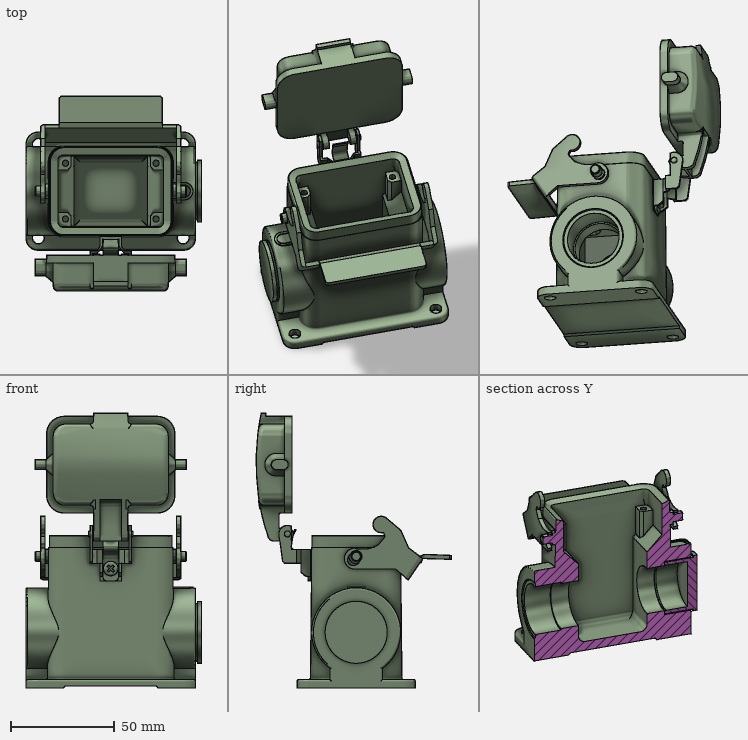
import cadquery as cq
import math

flange_half_x = 41.0
flange_half_y = 28.6
flange_thickness = 4.2
flange_corner_radius = 6.0
flange_edge_radius = 1.0
mount_hole_diameter = 5.6
mount_hole_x = 35.0
mount_hole_y = 22.6
foot_recess_half_x = 22.0
foot_recess_depth = 1.0

body_base_half = (30.7, 22.2)
body_draft = 0.6
body_corner_radius = 8.2
rim_corner_radius = 7.5
rim_half = (29.7, 21.4)
rim_base_z = 68.0
housing_top_z = 73.7
rim_outer_radius = 0.3
rim_bevel_width = 3.5
rim_bevel_drop = 1.2
foot_fillet_radius = 0.7

mouth_half = (25.6, 17.55)
mouth_corner_radius = 3.0
mouth_bottom_z = 68.0
throat_taper_end_z = 63.0
chamber_half = (17.8, 17.0)
chamber_floor_z = 6.0
chamber_floor_radius = 3.4
ramp_high_z = 56.0
ramp_low_z = 48.0
post_top_z = 64.0
post_length_x = 6.4
post_length_y = 7.2
post_corner_chamfer = 1.5
post_hole_diameter = 3.0
post_hole_depth = 10.0
post_hole_x = 21.9
post_hole_y = 13.5

port_z = 27.0
port_radius = 21.5
port_edge_radius = 0.8
plain_bore_diameter = 25.5
plug_bore_diameter = 28.3
port_mouth_diameter = 30.0
port_mouth_depth = 0.5
port_inner_diameter = 24.0
port_bore_end_x = 27.0
web_half_y = 12.6
port_pad_half_y = 4.2
port_pad_end_x = 39.7
port_pad_start_x = 28.0
port_pad_height = 0.4
port_pad_rim = 1.2
port_pad_recess = 0.4

lever_pin_z = 63.7
lever_pin_diameter = 4.8
lever_pin_end_x = 36.5
lever_pin_chamfer = 0.4
lever_boss_diameter = 7.0
lever_boss_end_x = 31.6

plug_cap_diameter = 30.0
plug_cap_thickness = 2.0
plug_end_x = 43.9
plug_body_diameter = 28.0
plug_cavity_diameter = 24.0
plug_cavity_edge = 0.75
plug_floor_thickness = 3.0

lever_inner_x = 31.7
lever_thickness = 2.2
lever_outer_x = lever_inner_x + lever_thickness
lever_hub_center = (-0.6, 62.6)
lever_hub_radius = 5.1
lever_tip_center = (12.1, 79.1)
lever_tip_radius = 4.0
lever_shoulder_y = 19.1
lever_neck_curve = ((6.0, 67.4), (11.0, 69.6))
lever_throat = ((13.9, 73.2), (13.2, 75.1))
lever_back = ((21.6, 76.3), (25.4, 67.8))
lever_slot_width = 5.6
lever_slot_end = (-1.4, 62.0)
bar_top = (32.2, 62.6)
bar_bottom = (25.2, 52.3)
bar_thickness = 2.0
bar_bend_radius = 1.8
handle_half_x = 25.0
handle_end_y = 45.98
handle_rise = 0.5
handle_top_z = 64.2
handle_corner_chamfer = 1.0

sheet = 1.3
seat_y = -22.0
channel_half_x = 5.2
channel_top_z = 67.1
wing_bottom_z = 60.3
cheek_bottom_z = 53.9
cheek_front_y = -26.7
cheek_slope_end_y = -24.0
cheek_slope_height = 2.0
wing_back_y = -28.9
wing_outer_flare = 1.4
wing_inner_flare = 2.8
ear_outer_x = 10.0
ear_inner_x = ear_outer_x - sheet
ear_hub_radius = 4.2
ear_front_y = -35.6
ear_corner = 1.0
ear_back_y = -31.3
hinge_y = -33.2
hinge_z = 74.5
tongue_half_x = 3.65
tongue_bottom_z = 51.9
tongue_corner_radius = 1.5
leaf_thickness = 0.8
leaf_foot_z = 62.3
leaf_foot_curve = (-24.8, 65.3)
leaf_shelf_start_y = -27.4
leaf_shelf_z = 66.2
leaf_knee = ((-29.8, leaf_shelf_z), (-31.5, 66.9), (-32.1, 68.5))
leaf_bend = (-31.3, 73.7)
leaf_tip = (-29.8, 76.6)
hinge_pin_diameter = 3.0
hinge_pin_end_x = 10.8
hinge_pin_round = 0.7

screw_z = 57.8
screw_diameter = 3.0
screw_head_diameter = 7.0
screw_head_height = 2.2
screw_head_round = 1.0
screw_end_y = -18.6
screw_slot_width = 1.0
screw_slot_length = 4.0
screw_slot_depth = 1.2

lid_center_z = 108.0
lid_half = (31.0, 23.4)
lid_corner_radius = 8.5
lid_back_y = -30.9
lid_flange_front_y = -34.7
cover_half = (27.8, 19.6)
cover_corner_radius = 5.8
cover_edge_radius = 2.5
cover_front_y = -48.4
cover_arc_radius = 116.0
cover_arc_center_z = 109.0
arm_half_x = 8.3
arm_bottom_z = 71.0
arm_toe_curve = ((-39.8, arm_bottom_z), (-41.8, 71.9), (-42.8, 74.0))
arm_back_y = -37.3
arm_hub_radius = 2.8
arm_notch_z = 84.6
arm_notch_radius = 0.9
spine_fillet_radius = 1.8
arm_recess_half_x = 5.3
arm_recess_top_z = 91.1
arm_recess_radius = 3.5
tab_top_z = 132.93
tab_lip_y = -43.6
lid_pin_y = -36.9
lid_pin_size = (8.1, 4.8)
lid_pin_end_x = 36.5
pin_base_y = -38.7
pin_base_radius = 5.9
pin_base_tip_radius = 2.4
pin_base_end_x = 31.4


def slab(half_x, half_y, corner, z_low, z_high):
    """Upright block with rounded vertical corners, centred on the Z axis."""
    block = cq.Workplane("XY").workplane(offset=z_low).rect(2 * half_x, 2 * half_y)
    return block.extrude(z_high - z_low).edges("|Z").fillet(corner)


def box(x_range, y_range, z_range):
    """Axis-aligned block given by its limits."""
    size = [high - low for low, high in (x_range, y_range, z_range)]
    corner = (x_range[0], y_range[0], z_range[0])
    return cq.Workplane("XY").box(*size, centered=False).translate(corner)


def x_cylinder(diameter, x_start, x_end, y, z):
    """Cylinder along X between two x positions."""
    circle = cq.Workplane("YZ").workplane(offset=x_start).center(y, z).circle(diameter / 2)
    return circle.extrude(x_end - x_start)


def y_cylinder(diameter, y_start, y_end, z):
    """Cylinder along Y in the plane of symmetry, between two y positions."""
    circle = cq.Workplane("XZ").workplane(offset=-y_start).center(0, z).circle(diameter / 2)
    return circle.extrude(y_start - y_end)


def mirrored_pair(shape):
    """A shape together with its copy on the other side of the YZ plane."""
    return shape.union(shape.mirror("YZ"))


def tapered_slab(low_half, low_corner, low_z, high_half, high_corner, high_z):
    """Upright block with rounded corners whose outline changes evenly from bottom to top."""
    def outline(half, corner, z):
        sketch = cq.Sketch().rect(2 * half[0], 2 * half[1]).vertices().fillet(corner)
        return sketch.moved(cq.Location(cq.Vector(0, 0, z)))

    low = outline(low_half, low_corner, low_z)
    high = outline(high_half, high_corner, high_z)
    return cq.Workplane("XY").placeSketch(low, high).loft(ruled=True)


def make_shell():
    """Flange, slightly tapered tower and rim."""
    flange = slab(flange_half_x, flange_half_y, flange_corner_radius, 0, flange_thickness)
    flange = flange.faces(">Z").edges().fillet(flange_edge_radius)
    tower = (
        cq.Workplane("XY")
        .sketch()
        .rect(2 * body_base_half[0], 2 * body_base_half[1])
        .vertices()
        .fillet(body_corner_radius)
        .finalize()
        .extrude(rim_base_z, taper=body_draft)
    )
    base = flange.union(tower)
    foot_edges = cq.selectors.BoxSelector(
        (-body_base_half[0] - 1, -body_base_half[1] - 1, flange_thickness - 0.1),
        (body_base_half[0] + 1, body_base_half[1] + 1, flange_thickness + 0.1),
    )
    base = base.edges(foot_edges).fillet(foot_fillet_radius)
    rim = slab(*rim_half, rim_corner_radius, rim_base_z, housing_top_z)
    rim = rim.faces(">Z").edges().fillet(rim_outer_radius)
    return base.union(rim)


def make_port():
    """Cable entry on the +X side: a drum standing on a web."""
    drum = x_cylinder(2 * port_radius, 0, flange_half_x, 0, port_z)
    web = box((0, flange_half_x), (-web_half_y, web_half_y), (flange_thickness / 2, port_z))
    return drum.union(web).faces(">X").edges().fillet(port_edge_radius)


def make_port_bore(bore_diameter):
    """Bore on the +X side with a shallow bevelled recess outside and a narrower opening inside."""
    bore = x_cylinder(bore_diameter, port_bore_end_x, flange_half_x, 0, port_z)
    opening = x_cylinder(port_inner_diameter, 0, flange_half_x, 0, port_z)
    mouth_start_x = flange_half_x - port_mouth_depth
    mouth = x_cylinder(port_mouth_diameter, mouth_start_x, flange_half_x, 0, port_z)
    mouth = mouth.faces("<X").chamfer(0.9 * port_mouth_depth)
    return bore.union(opening).union(mouth)


def make_port_pad():
    """Round-ended raised pad on top of the +X port."""
    top_z = port_z + port_radius + port_pad_height

    def tongue(inset, z_low):
        radius = port_pad_half_y - inset
        straight_end = port_pad_end_x - port_pad_half_y
        outline = (
            cq.Workplane("XY")
            .workplane(offset=z_low)
            .moveTo(port_pad_start_x, -radius)
            .lineTo(straight_end, -radius)
            .threePointArc((straight_end + radius, 0), (straight_end, radius))
            .lineTo(port_pad_start_x, radius)
            .close()
        )
        return outline.extrude(top_z - z_low)

    recess = tongue(port_pad_rim, top_z - port_pad_recess)
    return tongue(0, port_z + port_pad_half_y + plug_bore_diameter / 2).cut(recess)


def make_chamber():
    """Inner space: wide mouth, ramps down to a narrower chamber, corner posts left standing."""
    mouth = slab(*mouth_half, mouth_corner_radius, mouth_bottom_z, housing_top_z)
    throat = (
        cq.Workplane("YZ")
        .polyline([
            (mouth_half[1], mouth_bottom_z),
            (chamber_half[1], throat_taper_end_z),
            (chamber_half[1], ramp_high_z),
            (-chamber_half[1], ramp_high_z),
            (-chamber_half[1], throat_taper_end_z),
            (-mouth_half[1], mouth_bottom_z),
        ])
        .close()
        .extrude(mouth_half[0], both=True)
    )
    ramps = (
        cq.Workplane("XZ")
        .polyline([
            (-mouth_half[0], ramp_high_z),
            (mouth_half[0], ramp_high_z),
            (chamber_half[0], ramp_low_z),
            (-chamber_half[0], ramp_low_z),
        ])
        .close()
        .extrude(chamber_half[1], both=True)
    )
    pit = box(
        (-chamber_half[0], chamber_half[0]),
        (-chamber_half[1], chamber_half[1]),
        (chamber_floor_z, ramp_high_z),
    )
    pit = pit.faces("<Z").edges().fillet(chamber_floor_radius)
    throat = throat.intersect(slab(*mouth_half, mouth_corner_radius, ramp_high_z, mouth_bottom_z))
    return mouth.union(throat).union(ramps).union(pit).cut(make_posts())


def make_posts():
    """Corner posts that take the fixing screws of the insert."""
    posts = cq.Workplane("XY")
    for side_x in (-1, 1):
        for side_y in (-1, 1):
            x_limits = sorted(side_x * x for x in (mouth_half[0], mouth_half[0] - post_length_x))
            y_limits = sorted(side_y * y for y in (mouth_half[1], mouth_half[1] - post_length_y))
            post = box(x_limits, y_limits, (ramp_low_z, post_top_z))
            inner_edge = ("<X" if side_x > 0 else ">X", "<Y" if side_y > 0 else ">Y")
            post = post.faces(inner_edge[0]).edges(inner_edge[1]).chamfer(post_corner_chamfer)
            posts = posts.union(post)
    holes = (
        cq.Workplane("XY")
        .workplane(offset=post_top_z)
        .rect(2 * post_hole_x, 2 * post_hole_y, forConstruction=True)
        .vertices()
        .circle(post_hole_diameter / 2)
        .extrude(-post_hole_depth)
    )
    return posts.cut(holes)


def make_lever_pivot():
    """Boss and pin on the +X side that carry the lever."""
    boss = x_cylinder(lever_boss_diameter, mouth_half[0] + 1, lever_boss_end_x, 0, lever_pin_z)
    pin = x_cylinder(lever_pin_diameter, lever_boss_end_x, lever_pin_end_x, 0, lever_pin_z)
    return boss.union(pin.faces(">X").chamfer(lever_pin_chamfer))


def make_housing():
    shell = make_shell().union(mirrored_pair(make_port()))
    shell = shell.union(make_port_pad()).union(mirrored_pair(make_lever_pivot()))

    seat = box(
        (-channel_half_x, channel_half_x),
        (seat_y, -mouth_half[1] - 1),
        (tongue_bottom_z, channel_top_z),
    )
    shell = shell.union(seat)

    shell = shell.cut(make_chamber())
    bevel_half = tuple(half + rim_bevel_width for half in mouth_half)
    bevel = tapered_slab(
        mouth_half, mouth_corner_radius, housing_top_z - rim_bevel_drop,
        bevel_half, mouth_corner_radius + rim_bevel_width, housing_top_z,
    )
    shell = shell.cut(bevel)
    shell = shell.cut(make_port_bore(plug_bore_diameter))
    shell = shell.cut(make_port_bore(plain_bore_diameter).mirror("YZ"))

    mount_holes = (
        cq.Workplane("XY")
        .rect(2 * mount_hole_x, 2 * mount_hole_y, forConstruction=True)
        .vertices()
        .circle(mount_hole_diameter / 2)
        .extrude(flange_thickness)
    )
    foot_recess = (
        cq.Workplane("XZ")
        .polyline([
            (-foot_recess_half_x - foot_recess_depth, 0),
            (-foot_recess_half_x, foot_recess_depth),
            (foot_recess_half_x, foot_recess_depth),
            (foot_recess_half_x + foot_recess_depth, 0),
        ])
        .close()
        .extrude(flange_half_y, both=True)
    )
    screw_hole = y_cylinder(screw_diameter, screw_end_y, seat_y, screw_z)
    return shell.cut(mount_holes).cut(foot_recess).cut(screw_hole)


def make_plug():
    """Cap with a hollow spigot that fills the +X port."""
    cap_start_x = plug_end_x - plug_cap_thickness
    cap = x_cylinder(plug_cap_diameter, cap_start_x, plug_end_x, 0, port_z)
    spigot = x_cylinder(plug_body_diameter, port_bore_end_x, cap_start_x, 0, port_z)
    cavity_end_x = cap_start_x - plug_floor_thickness
    cavity = x_cylinder(plug_cavity_diameter, port_bore_end_x, cavity_end_x, 0, port_z)
    plug = cap.union(spigot).cut(cavity)
    inner_edge = plug.faces("<X").edges(cq.selectors.RadiusNthSelector(0))
    return inner_edge.chamfer(plug_cavity_edge)


def make_lever_plate():
    """Side plate on the +X side with its hook, hub and pin slot."""
    hub_y, hub_z = lever_hub_center
    tip_y, tip_z = lever_tip_center
    tip_top = lever_tip_radius * math.sqrt(0.5)
    plate = (
        cq.Workplane("YZ")
        .workplane(offset=lever_inner_x)
        .moveTo(*bar_bottom)
        .lineTo(lever_shoulder_y, hub_z - lever_hub_radius)
        .lineTo(hub_y, hub_z - lever_hub_radius)
        .threePointArc((hub_y - lever_hub_radius, hub_z), (hub_y, hub_z + lever_hub_radius))
        .threePointArc(*lever_neck_curve)
        .lineTo(*lever_throat[0])
        .lineTo(*lever_throat[1])
        .lineTo(tip_y, tip_z - lever_tip_radius)
        .threePointArc((tip_y - lever_tip_radius, tip_z), (tip_y + tip_top, tip_z + tip_top))
        .lineTo(*lever_back[0])
        .lineTo(*lever_back[1])
        .lineTo(*bar_top)
        .close()
        .extrude(lever_thickness)
    )
    end_y, end_z = lever_slot_end
    slot_length = math.hypot(end_y, end_z - lever_pin_z)
    slot_angle = math.degrees(math.atan2(end_z - lever_pin_z, end_y))
    slot = (
        cq.Workplane("YZ")
        .workplane(offset=lever_inner_x)
        .center(end_y / 2, (end_z + lever_pin_z) / 2)
        .slot2D(slot_length + lever_slot_width, lever_slot_width, slot_angle)
        .extrude(lever_thickness)
    )
    return plate.cut(slot)


def make_lever():
    run = bar_top[0] - bar_bottom[0]
    rise = bar_top[1] - bar_bottom[1]
    length = math.hypot(run, rise)
    inset_y = -bar_thickness * rise / length
    inset_z = bar_thickness * run / length
    bar = (
        cq.Workplane("YZ")
        .polyline([
            bar_bottom,
            bar_top,
            (bar_top[0] + inset_y, bar_top[1] + inset_z),
            (bar_bottom[0] + inset_y, bar_bottom[1] + inset_z),
        ])
        .close()
        .extrude(lever_outer_x, both=True)
    )
    handle_under_z = handle_top_z - bar_thickness
    handle = (
        cq.Workplane("YZ")
        .polyline([
            (handle_end_y, handle_under_z),
            (handle_end_y, handle_top_z),
            (bar_top[0] + 1, handle_top_z + handle_rise),
            (bar_top[0] + inset_y, bar_top[1] + inset_z),
            (bar_top[0] + inset_y / 2, bar_top[1] - bar_thickness),
            bar_top,
        ])
        .close()
        .extrude(handle_half_x, both=True)
    )
    handle = handle.faces(">Y").edges("|Z").chamfer(handle_corner_chamfer)
    frame = mirrored_pair(make_lever_plate()).union(bar)
    for side in (-1, 1):
        corner = (side * lever_outer_x, (bar_top[0] + bar_bottom[0]) / 2, (bar_top[1] + bar_bottom[1]) / 2)
        frame = frame.edges(cq.selectors.NearestToPointSelector(corner)).fillet(bar_bend_radius)
    return frame.union(handle)


def make_bracket():
    """Folded sheet: back plate with tongue, two winged sides with pin ears and a spring leaf."""
    back = box(
        (-channel_half_x, channel_half_x),
        (seat_y - sheet, seat_y),
        (wing_bottom_z, channel_top_z),
    )
    tongue = box(
        (-tongue_half_x, tongue_half_x),
        (seat_y - sheet, seat_y),
        (tongue_bottom_z, channel_top_z),
    )
    tongue = tongue.faces("<Z").edges("|Y").fillet(tongue_corner_radius)
    bracket = back.union(tongue)
    bracket = bracket.union(mirrored_pair(make_bracket_side())).union(make_leaf())
    return bracket.cut(y_cylinder(screw_diameter, seat_y, seat_y - sheet, screw_z))


def make_bracket_side():
    """Cheek, flared wing and pin ear on the +X side."""
    cheek = (
        cq.Workplane("YZ")
        .workplane(offset=channel_half_x - sheet)
        .polyline([
            (seat_y, channel_top_z),
            (cheek_front_y, channel_top_z),
            (cheek_front_y, cheek_bottom_z + cheek_slope_height),
            (cheek_slope_end_y, cheek_bottom_z),
            (seat_y, cheek_bottom_z),
        ])
        .close()
        .extrude(sheet)
    )
    wing = (
        cq.Workplane("XY")
        .workplane(offset=wing_bottom_z)
        .polyline([
            (channel_half_x - sheet, cheek_front_y),
            (channel_half_x, cheek_front_y),
            (channel_half_x + wing_outer_flare, wing_back_y),
            (ear_outer_x, wing_back_y),
            (ear_outer_x, ear_back_y),
            (ear_inner_x, ear_back_y),
            (ear_inner_x, wing_back_y - sheet),
            (channel_half_x - sheet + wing_inner_flare, wing_back_y - sheet),
        ])
        .close()
        .extrude(channel_top_z - wing_bottom_z)
    )
    ear_back_height = math.sqrt(ear_hub_radius**2 - (ear_back_y - hinge_y) ** 2)
    ear = (
        cq.Workplane("YZ")
        .workplane(offset=ear_inner_x)
        .moveTo(ear_back_y, wing_bottom_z)
        .lineTo(ear_front_y + ear_corner, wing_bottom_z)
        .lineTo(ear_front_y, wing_bottom_z + ear_corner)
        .lineTo(hinge_y - ear_hub_radius, hinge_z)
        .threePointArc(
            (hinge_y, hinge_z + ear_hub_radius),
            (ear_back_y, hinge_z + ear_back_height),
        )
        .close()
        .extrude(sheet)
    )
    ear = ear.cut(x_cylinder(hinge_pin_diameter, ear_inner_x, ear_outer_x, hinge_y, hinge_z))
    return cheek.union(wing).union(ear)


def make_leaf():
    """Spring leaf that bends out of the back plate and leans on the lid hub."""
    foot_y = seat_y - sheet
    foot_inner_y = foot_y + sheet / 2
    knee_low, knee_middle, knee_high = leaf_knee
    shift = leaf_thickness

    profile = (
        cq.Workplane("YZ")
        .moveTo(foot_y, leaf_foot_z)
        .threePointArc(leaf_foot_curve, (leaf_shelf_start_y, leaf_shelf_z))
        .lineTo(*knee_low)
        .threePointArc(knee_middle, knee_high)
        .lineTo(*leaf_bend)
        .lineTo(*leaf_tip)
        .lineTo(leaf_tip[0] + shift, leaf_tip[1])
        .lineTo(leaf_bend[0] + shift, leaf_bend[1])
        .lineTo(knee_high[0] + shift, knee_high[1])
        .threePointArc(
            (knee_middle[0] + math.sqrt(0.5) * shift, knee_middle[1] + math.sqrt(0.5) * shift),
            (knee_low[0], knee_low[1] + shift),
        )
        .lineTo(leaf_shelf_start_y, leaf_shelf_z + shift)
        .lineTo(foot_inner_y, leaf_shelf_z - shift)
        .lineTo(foot_inner_y, leaf_foot_z)
        .close()
    )
    return profile.extrude(tongue_half_x, both=True)


def make_screw():
    head_back_y = seat_y - sheet
    head_front_y = head_back_y - screw_head_height
    head = y_cylinder(screw_head_diameter, head_back_y, head_front_y, screw_z)
    head = head.faces("<Y").edges().fillet(screw_head_round)
    shank = y_cylinder(screw_diameter, screw_end_y, head_back_y, screw_z)
    screw = head.union(shank)
    for angle in (45, 135):
        slot = cq.Workplane("XY").box(screw_slot_length, 2 * screw_slot_depth, screw_slot_width)
        slot = slot.rotate((0, 0, 0), (0, 1, 0), angle)
        screw = screw.cut(slot.translate((0, head_front_y, screw_z)))
    return screw


def lid_plate(half, corner, y_back, y_front):
    """Upright rounded plate centred on the lid."""
    plate = cq.Workplane("XZ").workplane(offset=-y_back).center(0, lid_center_z)
    plate = plate.rect(2 * half[0], 2 * half[1]).extrude(y_back - y_front)
    return plate.edges("|Y").fillet(corner)


def make_crown():
    """Cylinder along X whose surface is the curved front of the lid."""
    center_y = cover_front_y + cover_arc_radius
    return x_cylinder(2 * cover_arc_radius, -lid_half[0], lid_half[0], center_y, cover_arc_center_z)


def make_lid_arm():
    """Block below the cover that reaches back to the hinge."""
    outline = (
        cq.Workplane("YZ")
        .moveTo(lid_flange_front_y, arm_recess_top_z)
        .lineTo(lid_flange_front_y, arm_notch_z)
        .lineTo(arm_back_y + arm_notch_radius, arm_notch_z)
        .radiusArc((arm_back_y, arm_notch_z - arm_notch_radius), -arm_notch_radius)
        .lineTo(arm_back_y, hinge_z + arm_hub_radius)
        .lineTo(hinge_y, hinge_z + arm_hub_radius)
        .threePointArc((hinge_y + arm_hub_radius, hinge_z), (hinge_y, hinge_z - arm_hub_radius))
        .lineTo(arm_back_y, arm_bottom_z)
        .lineTo(*arm_toe_curve[0])
        .threePointArc(*arm_toe_curve[1:])
        .lineTo(cover_front_y, arm_recess_top_z)
        .close()
    )
    return outline.extrude(arm_half_x, both=True)


def make_spine_gusset():
    """Rounded inner corner where the +X flank of the arm or tab leaves the cover."""
    radius = spine_fillet_radius
    outline = (
        cq.Workplane("XZ")
        .workplane(offset=-lid_flange_front_y)
        .center(arm_half_x, lid_center_z + cover_half[1])
        .moveTo(-radius / 2, -cover_edge_radius)
        .lineTo(0, -cover_edge_radius)
        .lineTo(radius, 0)
        .radiusArc((0, radius), radius)
        .lineTo(-radius / 2, radius)
        .close()
    )
    return outline.extrude(lid_flange_front_y - cover_front_y)


def make_lid_pin():
    """Locking pin with its flared base on the +X side."""
    def base_outline(x, radius, back_y):
        plane = cq.Workplane("YZ").workplane(offset=x).center(0, lid_center_z)
        outline = plane.moveTo(back_y, -radius).lineTo(pin_base_y, -radius)
        outline = outline.threePointArc((pin_base_y - radius, 0), (pin_base_y, radius))
        return outline.lineTo(back_y, radius).close().wire().val()

    start_x = cover_half[0] - 0.5
    wide = base_outline(start_x, pin_base_radius, lid_flange_front_y)
    narrow = base_outline(pin_base_end_x, pin_base_tip_radius, lid_flange_front_y)
    base = cq.Workplane(cq.Solid.makeLoft([wide, narrow], True))
    pin = (
        cq.Workplane("YZ")
        .workplane(offset=start_x)
        .center(lid_pin_y, lid_center_z)
        .slot2D(*lid_pin_size)
        .extrude(lid_pin_end_x - start_x)
    )
    return base.union(pin)


def make_lid():
    flange = lid_plate(lid_half, lid_corner_radius, lid_back_y, lid_flange_front_y)
    crown = make_crown()
    cover = lid_plate(cover_half, cover_corner_radius, lid_flange_front_y, cover_front_y - 1)
    cover = cover.intersect(crown).faces("<Y").edges().fillet(cover_edge_radius)

    lid_top_z = lid_center_z + lid_half[1]
    tab = box((-arm_half_x, arm_half_x), (cover_front_y, lid_flange_front_y), (lid_center_z, lid_top_z))
    lip = box((-arm_half_x, arm_half_x), (cover_front_y, tab_lip_y), (lid_center_z, tab_top_z))
    spine = tab.union(lip).union(make_lid_arm()).intersect(crown)
    recess = box(
        (-arm_recess_half_x, arm_recess_half_x),
        (cover_front_y - 1, arm_back_y - sheet),
        (arm_bottom_z - 1, arm_recess_top_z),
    )
    recess = recess.faces(">Y").edges(">Z").fillet(arm_recess_radius)
    hub_gap = box(
        (-arm_recess_half_x, arm_recess_half_x),
        (arm_back_y, hinge_y + arm_hub_radius),
        (arm_bottom_z, arm_notch_z),
    )
    gusset = make_spine_gusset().intersect(crown)
    gussets = gusset.union(gusset.mirror("XY", (0, 0, lid_center_z)))
    lid = cover.union(spine).union(mirrored_pair(gussets))
    lid = lid.union(flange).cut(recess).cut(hub_gap)
    lid = lid.union(mirrored_pair(make_lid_pin()))
    hinge_pin = x_cylinder(hinge_pin_diameter, arm_recess_half_x, hinge_pin_end_x, hinge_y, hinge_z)
    hinge_pin = hinge_pin.faces(">X").edges().fillet(hinge_pin_round)
    return lid.union(mirrored_pair(hinge_pin))


housing = make_housing()
plug = make_plug()
lever = make_lever()
bracket = make_bracket()
screw = make_screw()
lid = make_lid()

result = cq.Compound.makeCompound([
    housing.val(),
    plug.val(),
    lever.val(),
    bracket.val(),
    screw.val(),
    lid.val(),
])